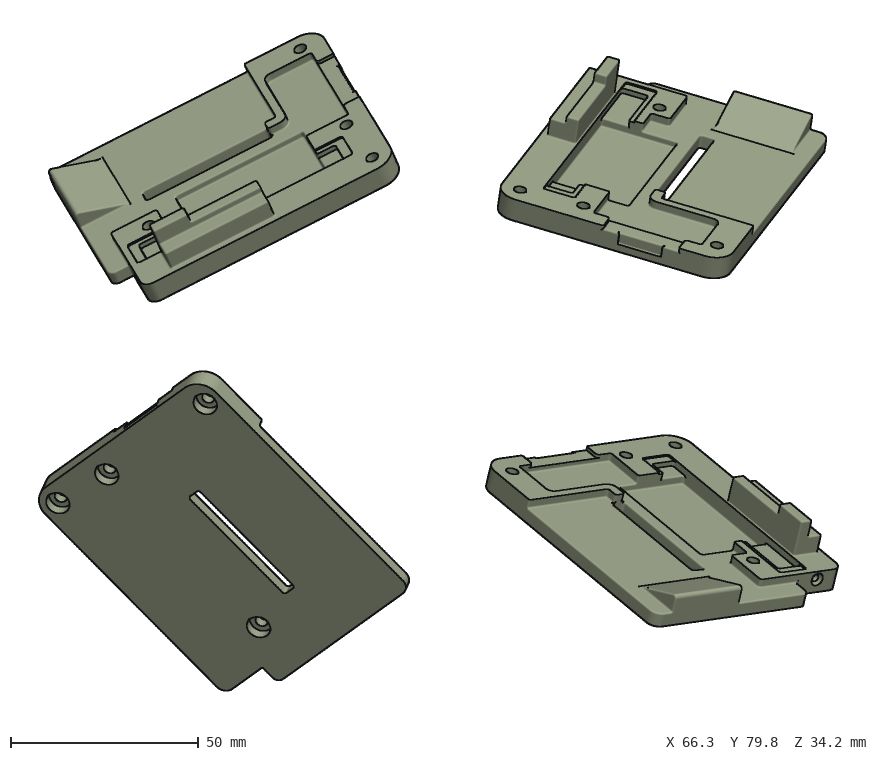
import cadquery as cq
import math


TILT = 20.0
WIDTH = 66.25
LENGTH = 82.0
THICKNESS = 6.5
FLOOR = 4.0
ROUND = 0.5
MARGIN = 5.0
SMALL_CORNER = 0.75

BACK_CORNER = 6.0
FRONT_CORNER = 3.0
TONGUE_WIDTH = 51.5
TONGUE_CORNER = 2.0
INNER_CORNER = 0.4
BODY_FRONT = 6.0

RIDGE_FRONT = 60.0
RIDGE_BACK = 62.5
NUB_LEFT = 26.5
NUB_RIGHT = 29.5
NUB_FRONT = 56.5
NUB_OUTER_CORNER = 2.5
BAY_LEFT = 8.7
BAY_RIGHT = 39.7
BAY_BACK = 77.0
BAY_CORNER = 2.0
LAND_LEFT = 38.8
LAND_BACK = 19.75
LAND_STEP = 44.2

SLOT_FRONT = 19.0
SLOT_LEFT = NUB_LEFT - ROUND
SLOT_RIGHT = NUB_RIGHT + ROUND

POCKET_LEFT = 34.0
POCKET_RIGHT = 55.75
POCKET_FRONT = 26.0
POCKET_BACK = 64.25
POCKET_FLOOR = 2.0
STEP_LEFT = 46.75
STEP_FRONT = 8.0
STEP_BACK = 72.5
STEP_FLOOR = 6.0
STEP_LEDGE_SIDE = 1.5
STEP_LEDGE_END = 2.75
STEP_DEEP_FLOOR = 4.5

SHELF_CENTRE = (BAY_LEFT + BAY_RIGHT) / 2
SHELF_WIDTH = 21.6
SHELF_LEVEL = 5.5
SHELF_CORNER = 1.0
RELIEF_WIDTH = 12.4
RELIEF_DEPTH = 0.5
RELIEF_BOTTOM = 2.25
RELIEF_COVE = 0.45
EDGE_GAP = 0.01

HOLE_DIAMETER = 3.4
COUNTERBORE_DIAMETER = 6.5
COUNTERBORE_DEPTH = THICKNESS / 2
HOLE_PLACES = [(5.05, 75.0), (43.3, 75.0), (60.9, 76.4), (43.3, 15.75)]
SIDE_HOLE_X = 58.4
SIDE_HOLE_Z = 4.0
SIDE_HOLE_DIAMETER = 2.0
SIDE_HOLE_SINK = 0.85
SIDE_HOLE_DEPTH = 10.0

FENCE_LEFT = 56.3
FENCE_RIGHT = 64.4
FENCE_WALL = 3.6
FENCE_FRONT = 15.0
FENCE_BACK = 46.0
FENCE_POST_BACK = 25.25
FENCE_POST_TOP = 17.0
FENCE_WALL_TOP = 14.0
FENCE_SHOULDER_TOP = 12.0

WEDGE_LEFT = 5.4
WEDGE_RIGHT = 27.9
WEDGE_LENGTH = 14.87
WEDGE_NOSE = 1.0
WEDGE_RISE = WEDGE_LENGTH * math.tan(math.radians(TILT))


def prism(corners, bottom, top):
    """Upright prism from (x, y, corner radius) entries."""
    body = cq.Workplane("XY").workplane(offset=bottom).polyline([c[:2] for c in corners]).close()
    body = body.extrude(top - bottom)
    for x, y, radius in corners:
        if radius > 0:
            spot = (x, y, (bottom + top) / 2)
            body = body.edges("|Z").edges(cq.NearestToPointSelector(spot)).fillet(radius)
    return body


def box(x0, x1, y0, y1, z0, z1):
    return cq.Workplane("XY").box(x1 - x0, y1 - y0, z1 - z0, centered=False).translate((x0, y0, z0))


def plate():
    return prism(
        [
            (0, 0, FRONT_CORNER),
            (TONGUE_WIDTH, 0, TONGUE_CORNER),
            (TONGUE_WIDTH, BODY_FRONT, INNER_CORNER),
            (WIDTH, BODY_FRONT, FRONT_CORNER),
            (WIDTH, LENGTH, BACK_CORNER),
            (0, LENGTH, BACK_CORNER),
        ],
        0,
        THICKNESS,
    )


def recess():
    """Cutter for the shallow recess, with a coved floor edge; it runs out at the left and front."""
    inside_pocket = POCKET_BACK - MARGIN
    cutter = prism(
        [
            (-MARGIN, -MARGIN, 0),
            (WIDTH + MARGIN, -MARGIN, 0),
            (WIDTH + MARGIN, BODY_FRONT, 0),
            (LAND_LEFT, BODY_FRONT, SMALL_CORNER),
            (LAND_LEFT, LAND_BACK, SMALL_CORNER),
            (LAND_STEP, LAND_BACK, SMALL_CORNER),
            (LAND_STEP, inside_pocket, 0),
            (BAY_RIGHT, inside_pocket, 0),
            (BAY_RIGHT, BAY_BACK, SMALL_CORNER),
            (BAY_LEFT, BAY_BACK, SMALL_CORNER),
            (BAY_LEFT, RIDGE_BACK, BAY_CORNER),
            (NUB_RIGHT, RIDGE_BACK, NUB_OUTER_CORNER),
            (NUB_RIGHT, NUB_FRONT, SMALL_CORNER),
            (NUB_LEFT, NUB_FRONT, SMALL_CORNER),
            (NUB_LEFT, RIDGE_FRONT, SMALL_CORNER),
            (-MARGIN, RIDGE_FRONT, 0),
        ],
        FLOOR,
        THICKNESS + MARGIN,
    )
    return cutter.faces("<Z").edges().fillet(ROUND)


def wedge():
    """Ramp on the recess floor, with coved feet along both sides and sharp edges."""
    base = FLOOR - ROUND
    run = WEDGE_LENGTH + ROUND / math.tan(math.radians(TILT))
    flared = (
        cq.Workplane("XZ")
        .moveTo(WEDGE_LEFT - ROUND, base)
        .lineTo(WEDGE_LEFT - ROUND, FLOOR)
        .radiusArc((WEDGE_LEFT, FLOOR + ROUND), -ROUND)
        .lineTo(WEDGE_LEFT, FLOOR + WEDGE_RISE)
        .lineTo(WEDGE_RIGHT, FLOOR + WEDGE_RISE)
        .lineTo(WEDGE_RIGHT, FLOOR + ROUND)
        .radiusArc((WEDGE_RIGHT + ROUND, FLOOR), -ROUND)
        .lineTo(WEDGE_RIGHT + ROUND, base)
        .close()
        .extrude(-run)
    )
    ramp = cq.Workplane("YZ").polyline([(0, base), (run, base), (0, FLOOR + WEDGE_RISE)]).close()
    return flared.intersect(ramp.extrude(WIDTH))


def wedge_trim():
    """What the rounded nose and the rounded side edges take off the sharp wedge."""
    sharp = wedge()
    centre = (WEDGE_LEFT + WEDGE_RIGHT) / 2
    nose = cq.NearestToPointSelector((centre, 0, FLOOR + WEDGE_RISE))
    rounded = sharp.edges(nose).fillet(WEDGE_NOSE)
    middle = WEDGE_LENGTH / 2
    for x in (WEDGE_LEFT, WEDGE_RIGHT):
        side = cq.NearestToPointSelector((x, middle, FLOOR + WEDGE_RISE / 2))
        rounded = rounded.edges(side).fillet(ROUND)
    return sharp.cut(rounded)


def tongue():
    """Plate with its recess and wedge; the front rim is rounded on both sides of the wedge."""
    body = plate().cut(recess()).union(wedge())
    for spot in ((0, RIDGE_FRONT / 2, FLOOR), (TONGUE_WIDTH, BODY_FRONT / 2, FLOOR)):
        body = body.edges(cq.NearestToPointSelector(spot)).fillet(ROUND)
    return body.cut(wedge_trim())


def pocket_prism(left, right, front, back, floor):
    """Rectangular cutter with small plan corners, open at the top."""
    return prism(
        [
            (left, front, SMALL_CORNER),
            (right, front, SMALL_CORNER),
            (right, back, SMALL_CORNER),
            (left, back, SMALL_CORNER),
        ],
        floor,
        THICKNESS + MARGIN,
    )


def cut_deep_pocket(body):
    """Deep pocket with a coved floor; the rounding of its rim runs on up the wall corners."""
    cutter = pocket_prism(POCKET_LEFT, POCKET_RIGHT, POCKET_FRONT, POCKET_BACK, POCKET_FLOOR)
    body = body.cut(cutter.faces("<Z").edges().fillet(ROUND))
    rim = cq.NearestToPointSelector((POCKET_LEFT, (POCKET_FRONT + POCKET_BACK) / 2, FLOOR))
    return body.edges(rim).fillet(ROUND)


def cut_end_steps(body):
    """Two stepped levels that run past both ends of the deep pocket."""
    body = body.cut(pocket_prism(STEP_LEFT, POCKET_RIGHT, STEP_FRONT, STEP_BACK, STEP_FLOOR))
    deep = pocket_prism(
        STEP_LEFT + STEP_LEDGE_SIDE,
        POCKET_RIGHT,
        STEP_FRONT + STEP_LEDGE_END,
        STEP_BACK - STEP_LEDGE_END,
        STEP_DEEP_FLOOR,
    )
    body = body.cut(deep)
    centre = (STEP_LEFT + STEP_LEDGE_SIDE + POCKET_RIGHT) / 2
    for y in (POCKET_FRONT, POCKET_BACK):
        rim = cq.NearestToPointSelector((centre, y, STEP_DEEP_FLOOR))
        body = body.edges(rim).fillet(ROUND)
        ledge_end = (STEP_LEFT + STEP_LEDGE_SIDE, y, (STEP_DEEP_FLOOR + STEP_FLOOR) / 2)
        body = body.edges("|Z").edges(cq.NearestToPointSelector(ledge_end)).fillet(ROUND)
    return body


def cut_slot(body):
    """Through slot with a rounded mouth; the nub stays whole at its back end."""
    slot = pocket_prism(SLOT_LEFT, SLOT_RIGHT, SLOT_FRONT, NUB_FRONT, -MARGIN)
    rim_land = 2 * ROUND
    surround = box(
        SLOT_LEFT - rim_land,
        SLOT_RIGHT + rim_land,
        SLOT_FRONT - rim_land,
        NUB_FRONT + rim_land,
        0,
        FLOOR,
    )
    rim = cq.NearestToPointSelector((SLOT_LEFT, (SLOT_FRONT + NUB_FRONT) / 2, FLOOR))
    mouth = surround.cut(surround.cut(slot).edges(rim).fillet(ROUND))
    nub = box(NUB_LEFT, NUB_RIGHT, NUB_FRONT, RIDGE_FRONT, 0, FLOOR)
    return body.cut(slot).cut(mouth.cut(nub))


def cut_shelf(body):
    """Low stretch of the back wall, with a shallow relief in the back face below it."""
    left = SHELF_CENTRE - SHELF_WIDTH / 2
    right = SHELF_CENTRE + SHELF_WIDTH / 2
    inside = BAY_BACK - MARGIN
    flare = 2 * SHELF_CORNER
    cutter = prism(
        [
            (left, LENGTH + MARGIN, 0),
            (left, BAY_BACK, SHELF_CORNER),
            (left - flare, BAY_BACK, 0),
            (left - flare, inside, 0),
            (right + flare, inside, 0),
            (right + flare, BAY_BACK, 0),
            (right, BAY_BACK, SHELF_CORNER),
            (right, LENGTH + MARGIN, 0),
        ],
        SHELF_LEVEL,
        THICKNESS + MARGIN,
    )
    body = body.cut(cutter)
    relief = box(
        SHELF_CENTRE - RELIEF_WIDTH / 2,
        SHELF_CENTRE + RELIEF_WIDTH / 2,
        LENGTH - RELIEF_DEPTH,
        LENGTH + MARGIN,
        RELIEF_BOTTOM,
        THICKNESS + MARGIN,
    )
    cove = cq.NearestToPointSelector((SHELF_CENTRE, LENGTH - RELIEF_DEPTH, RELIEF_BOTTOM))
    body = body.cut(relief.edges(cove).fillet(RELIEF_COVE))
    back_edges = cq.selectors.BoxSelector(
        (left - ROUND, LENGTH - RELIEF_DEPTH - EDGE_GAP, SHELF_LEVEL - EDGE_GAP),
        (right + ROUND, LENGTH + EDGE_GAP, SHELF_LEVEL + EDGE_GAP),
    )
    body = body.edges(back_edges).fillet(ROUND)
    for x in (left, right):
        corner = cq.NearestToPointSelector((x, LENGTH, (SHELF_LEVEL + THICKNESS) / 2))
        body = body.edges(corner).fillet(ROUND)
    return body


def cut_holes(body):
    """Counterbored screw holes, and a countersunk blind hole in the body front."""
    for x, y in HOLE_PLACES:
        spot = cq.Workplane("XY").center(x, y)
        body = body.cut(spot.circle(HOLE_DIAMETER / 2).extrude(THICKNESS))
        body = body.cut(spot.circle(COUNTERBORE_DIAMETER / 2).extrude(COUNTERBORE_DEPTH))
    radius = SIDE_HOLE_DIAMETER / 2
    bore = (
        cq.Workplane("XY")
        .polyline(
            [
                (0, 0),
                (radius + SIDE_HOLE_SINK, 0),
                (radius, SIDE_HOLE_SINK),
                (radius, SIDE_HOLE_DEPTH),
                (0, SIDE_HOLE_DEPTH),
            ]
        )
        .close()
        .revolve(360, (0, 0, 0), (0, 1, 0))
    )
    return body.cut(bore.translate((SIDE_HOLE_X, BODY_FRONT, SIDE_HOLE_Z)))


def add_fence(body):
    """Upright wall with a taller post at its front end and a low shoulder along its right side."""
    wall_right = FENCE_LEFT + FENCE_WALL
    profile = [
        (FENCE_FRONT, 0),
        (FENCE_FRONT, FENCE_POST_TOP),
        (FENCE_POST_BACK, FENCE_POST_TOP),
        (FENCE_POST_BACK, FENCE_WALL_TOP),
        (FENCE_BACK, FENCE_WALL_TOP),
        (FENCE_BACK, 0),
    ]
    wall = cq.Workplane("YZ", origin=(FENCE_LEFT, 0, 0)).polyline(profile).close().extrude(FENCE_WALL)
    shoulder = box(wall_right, FENCE_RIGHT, FENCE_FRONT, FENCE_BACK, 0, FENCE_SHOULDER_TOP)
    fence = wall.union(shoulder)
    fence = fence.edges("not <Z").fillet(ROUND)
    fence = fence.intersect(box(0, WIDTH, 0, LENGTH, FLOOR, FENCE_POST_TOP))
    body = body.union(fence)
    foot = cq.NearestToPointSelector((FENCE_LEFT, (FENCE_FRONT + FENCE_BACK) / 2, THICKNESS))
    return body.edges(foot).fillet(ROUND)


tray = tongue()
tray = cut_deep_pocket(tray)
tray = cut_end_steps(tray)
tray = cut_slot(tray)
tray = cut_shelf(tray)
tray = cut_holes(tray)
tray = add_fence(tray)
result = tray.rotate((0, 0, 0), (1, 0, 0), TILT)